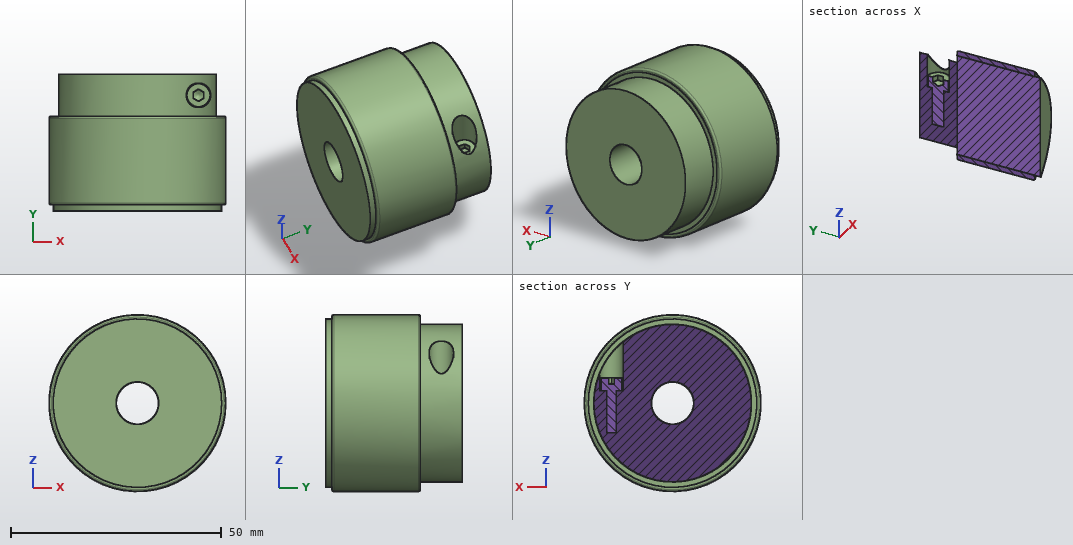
import cadquery as cq
import math


bore_dia = 10.0

core_dia = 40.0
core_nose = 1.5

sleeve_dia = 42.0
sleeve_length = 21.0
sleeve_edge_radius = 0.5

hub_dia = 37.5
hub_length = 10.0

screw_offset_x = 14.5
screw_dia = 3.0
screw_length = 10.0
head_dia = 5.5
head_height = 3.0
head_seat_z = 3.0
head_recess_dia = 5.8
socket_across_flats = 2.5
socket_depth = 1.3
socket_tip_angle = 120.0

sleeve_front_y = core_nose
hub_front_y = sleeve_front_y + sleeve_length
core_length = hub_front_y
screw_y = hub_front_y + hub_length / 2
head_top_z = head_seat_z + head_height
screw_tip_z = head_seat_z - screw_length
socket_corner_dia = socket_across_flats / math.cos(math.radians(30))
socket_tip_depth = socket_corner_dia / 2 / math.tan(math.radians(socket_tip_angle / 2))


def disc_along_y(diameter, front_y, length):
    """Cylinder on the shaft axis, running rearward from front_y."""
    return cq.Workplane("XZ", origin=(0, front_y, 0)).circle(diameter / 2).extrude(-length)


def ring_along_y(outer_dia, inner_dia, front_y, length):
    """Ring on the shaft axis, running rearward from front_y."""
    outer = disc_along_y(outer_dia, front_y, length)
    return outer.cut(disc_along_y(inner_dia, front_y, length))


def cylinder_on_screw_axis(diameter, bottom_z, top_z):
    """Cylinder on the clamp screw axis between two heights."""
    base = cq.Workplane("XY", origin=(screw_offset_x, screw_y, bottom_z))
    return base.circle(diameter / 2).extrude(top_z - bottom_z)


def make_core():
    """Bored cylinder that carries the sleeve and shows in front of it."""
    return ring_along_y(core_dia, bore_dia, 0, core_length)


def make_sleeve():
    """Thin tube around the core with both outer edges rounded."""
    outer = disc_along_y(sleeve_dia, sleeve_front_y, sleeve_length).edges().fillet(sleeve_edge_radius)
    return outer.cut(disc_along_y(core_dia, sleeve_front_y, sleeve_length))


def make_hub():
    """Bored clamp hub with a shank hole and an open recess for the screw head."""
    hub = ring_along_y(hub_dia, bore_dia, hub_front_y, hub_length)
    shank_hole = cylinder_on_screw_axis(screw_dia, screw_tip_z, head_seat_z)
    head_recess = cylinder_on_screw_axis(head_recess_dia, head_seat_z, hub_dia / 2)
    return hub.cut(shank_hole).cut(head_recess)


def make_hex_socket():
    """Hexagonal drive socket with a conical bottom, corners pointing along Y."""
    hexagon = (
        cq.Workplane("XY", origin=(screw_offset_x, screw_y, head_top_z))
        .transformed(rotate=(0, 0, 90))
        .polygon(6, socket_corner_dia)
        .extrude(-(socket_depth + socket_tip_depth))
    )
    pointed_pin = (
        cq.Workplane("XZ", origin=(screw_offset_x, screw_y, head_top_z))
        .polyline([
            (0, 0),
            (socket_corner_dia / 2, 0),
            (socket_corner_dia / 2, -socket_depth),
            (0, -socket_depth - socket_tip_depth),
        ])
        .close()
        .revolve(360, (0, 0), (0, 1))
    )
    return hexagon.intersect(pointed_pin)


def make_clamp_screw():
    """Cap screw with its head resting on the recess floor."""
    shank = cylinder_on_screw_axis(screw_dia, screw_tip_z, head_seat_z)
    head = cylinder_on_screw_axis(head_dia, head_seat_z, head_top_z)
    return shank.union(head).cut(make_hex_socket())


core = make_core()
sleeve = make_sleeve()
hub = make_hub()
clamp_screw = make_clamp_screw()

result = cq.Compound.makeCompound([
    core.solids().val(),
    sleeve.solids().val(),
    hub.solids().val(),
    clamp_screw.solids().val(),
])